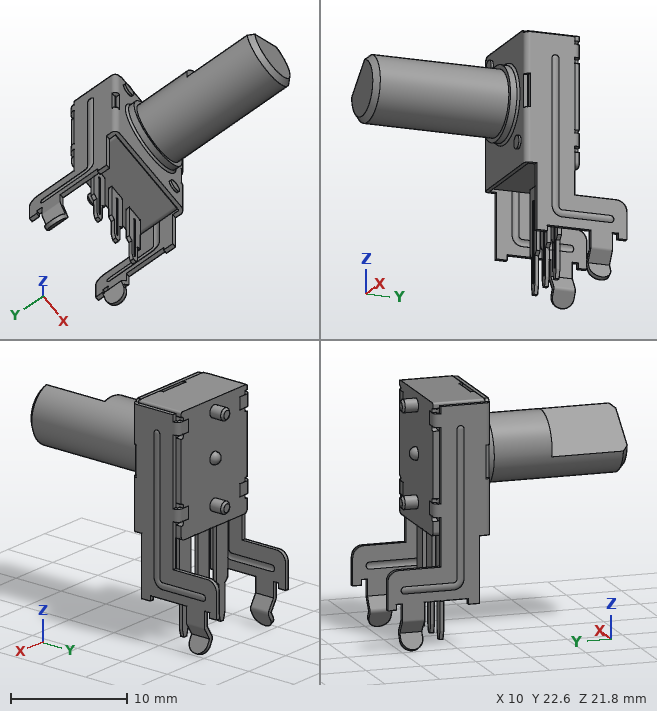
import cadquery as cq
import math


SHEET = 0.4
BRACKET_HALF_WIDTH = 4.9
BRACKET_INNER_HALF_WIDTH = BRACKET_HALF_WIDTH - SHEET
BEND_RADIUS = 0.5
FRONT_TOP_Z = 5.5
FRONT_BOTTOM_Z = -6.5
SIDE_TOP_Z = 5.25
SIDE_BACK_Y = 4.57
SHOULDER_HALF_WIDTH = BRACKET_HALF_WIDTH - BEND_RADIUS
WINDOW_LENGTH = 3.0
WINDOW_DEPTH = 0.45

BUSHING_DIAMETER = 6.8
BUSHING_LENGTH = 0.8
BUSHING_FLARE = 0.2

LEG_FRONT_Y = 1.04
FOOT_BACK_Y = 9.4
FOOT_TOP_Z = -9.0
FOOT_EDGE_Z = -12.0
FOOT_PAD_Z = -12.5
FRONT_PAD_WIDTH = 1.0
BACK_PAD_WIDTH = 0.8
FOOT_CORNER_RADIUS = 1.0

SNAP_Y = 7.06
SNAP_WIDTH = 2.0
SNAP_BEND_Z = -13.5
SNAP_ELBOW_X = 4.2
SNAP_ELBOW_Z = -14.75
SNAP_FLARE_ANGLE = 28.0
SNAP_BOTTOM_Z = -16.3

BEAD_WIDTH = 0.64
BEAD_HEIGHT = 0.1
BEAD_Y = 2.78
BEAD_TOP_Z = 3.1
BEAD_Z = -10.8
BEAD_BACK_Y = 7.86
BEAD_CORNER_RADIUS = 0.64

TAB_Z = 4.0
TAB_WIDTH = 1.2
TAB_RELIEF = 0.4
TAB_END_X = 3.5

HOUSING_BACK_Y = 5.15
HOUSING_BOTTOM_Z = -6.35
HOUSING_TOP_RADIUS = 0.2
HOUSING_BOTTOM_RADIUS = 0.4
TOP_NOTCH_LENGTH = 3.1
TOP_NOTCH_WIDTH = 0.35
TOP_NOTCH_DEPTH = 0.5
POCKET_DEPTH = 0.3
POCKET_COVE_RADIUS = 0.2
POST_DIAMETER = 1.2
POST_Z = 4.3
FRONT_POST_X = 3.25
FRONT_POSTS = ((-FRONT_POST_X, POST_Z), (FRONT_POST_X, -POST_Z))
FRONT_POST_HEIGHT = 0.2
BACK_POST_LENGTH = 1.4
BACK_POST_CHAMFER = 0.2
DOME_RADIUS = 0.6

SHAFT_DIAMETER = 6.0
SHAFT_TIP_Y = -13.2
SHAFT_SEAT_Y = 2.4
SHAFT_CHAMFER = 0.5
FLAT_LENGTH = 7.0
FLAT_OFFSET = 1.5
FLAT_ANGLE = 40.0

TERMINAL_PITCH = 2.5
TERMINAL_XS = (-TERMINAL_PITCH, 0, TERMINAL_PITCH)
TERMINAL_THICKNESS = 0.35
TERMINAL_MID_Y = 3.8
TERMINAL_INSERTION = 1.0
TERMINAL_TOP_Z = HOUSING_BOTTOM_Z + TERMINAL_INSERTION
TERMINAL_WIDTH = 1.55
TERMINAL_NARROW_WIDTH = 0.8
TERMINAL_TIP_WIDTH = 0.4
TERMINAL_SHOULDER_Z = -12.2
TERMINAL_TAPER_Z = -15.2
TERMINAL_BOTTOM_Z = -16.0
GROOVE_WIDTH = 0.2
GROOVE_DEPTH = 0.1
GROOVE_TOP_Z = -7.5
GROOVE_BOTTOM_Z = -15.0


def block(x0, x1, y0, y1, z0, z1):
    """Box between two opposite corners."""
    return cq.Workplane("XY").box(x1 - x0, y1 - y0, z1 - z0, centered=False).translate((x0, y0, z0))


def rod(diameter, x, z, y0, y1):
    """Round bar along Y from y0 to y1."""
    plane = cq.Plane(origin=(x, y0, z), xDir=(1, 0, 0), normal=(0, 1, 0))
    return cq.Workplane(plane).circle(diameter / 2).extrude(y1 - y0)


def both_sides(body):
    """The body together with its mirror image across X = 0."""
    return body.union(body.mirror("YZ"))




def front_channel():
    """Front plate and side walls around the housing, with rounded front bends."""
    channel = block(
        -BRACKET_HALF_WIDTH, BRACKET_HALF_WIDTH, 0, SIDE_BACK_Y, FRONT_BOTTOM_Z, SIDE_TOP_Z
    )
    channel = channel.edges("|Z and <Y").fillet(BEND_RADIUS)
    inside = block(
        -BRACKET_INNER_HALF_WIDTH, BRACKET_INNER_HALF_WIDTH, SHEET, SIDE_BACK_Y, FRONT_BOTTOM_Z, SIDE_TOP_Z
    )
    top_rise = FRONT_TOP_Z - SIDE_TOP_Z
    top_strip = block(
        -SHOULDER_HALF_WIDTH, SHOULDER_HALF_WIDTH, 0, SHEET, FRONT_BOTTOM_Z, FRONT_TOP_Z
    )
    top_strip = top_strip.edges("|Y and >Z").chamfer(top_rise)
    window = block(
        SHOULDER_HALF_WIDTH, BRACKET_HALF_WIDTH, 0, WINDOW_DEPTH, -WINDOW_LENGTH / 2, WINDOW_LENGTH / 2
    )
    return channel.cut(inside).union(top_strip).cut(both_sides(window))


def foot():
    """Flat lower part of the +X side, with its pads and the straight start of the snap leg."""
    snap_front = SNAP_Y - SNAP_WIDTH / 2
    snap_back = SNAP_Y + SNAP_WIDTH / 2
    front_pad_back = LEG_FRONT_Y + FRONT_PAD_WIDTH
    back_pad_front = FOOT_BACK_Y - BACK_PAD_WIDTH
    outline = [
        (LEG_FRONT_Y, FRONT_BOTTOM_Z),
        (LEG_FRONT_Y, FOOT_PAD_Z),
        (front_pad_back, FOOT_PAD_Z),
        (front_pad_back, FOOT_EDGE_Z),
        (snap_front, FOOT_EDGE_Z),
        (snap_front, SNAP_BEND_Z),
        (snap_back, SNAP_BEND_Z),
        (snap_back, FOOT_EDGE_Z),
        (back_pad_front, FOOT_EDGE_Z),
        (back_pad_front, FOOT_PAD_Z),
        (FOOT_BACK_Y, FOOT_PAD_Z),
        (FOOT_BACK_Y, FOOT_TOP_Z),
        (SIDE_BACK_Y, FOOT_TOP_Z),
        (SIDE_BACK_Y, FRONT_BOTTOM_Z),
    ]
    plate = cq.Workplane("YZ").workplane(offset=BRACKET_INNER_HALF_WIDTH).polyline(outline).close()
    plate = plate.extrude(SHEET)
    corner = cq.selectors.NearestToPointSelector((BRACKET_HALF_WIDTH, FOOT_BACK_Y, FOOT_TOP_Z))
    return plate.edges("|X").edges(corner).fillet(FOOT_CORNER_RADIUS)


def along(point, distance, direction):
    """The (x, z) point at a distance from another one along a unit direction."""
    return (point[0] + distance * direction[0], point[1] + distance * direction[1])


def unit(angle):
    """Unit (x, z) direction at an angle in degrees from the X axis towards Z."""
    return (math.cos(math.radians(angle)), math.sin(math.radians(angle)))


def snap_leg():
    """Sheet leg that bends inwards to an elbow and flares out again to a half-round end."""
    bend = (BRACKET_INNER_HALF_WIDTH, SNAP_BEND_Z)
    elbow = (SNAP_ELBOW_X, SNAP_ELBOW_Z)
    run_x = bend[0] - elbow[0]
    run_z = bend[1] - elbow[1]
    inward_angle = math.degrees(math.atan2(run_x, run_z) + math.asin(SHEET / math.hypot(run_x, run_z)))

    upper_normal = unit(-inward_angle)
    upper_bisector = unit(-inward_angle / 2)
    lower_normal = unit(180 + SNAP_FLARE_ANGLE)
    elbow_start_normal = unit(180 - inward_angle)
    elbow_bisector = unit(180 + (SNAP_FLARE_ANGLE - inward_angle) / 2)
    lower_direction = unit(SNAP_FLARE_ANGLE - 90)

    tip_drop = SNAP_ELBOW_Z - SNAP_BOTTOM_Z + SHEET * lower_normal[1]
    flare_length = tip_drop / -lower_direction[1]
    end_radius = SNAP_WIDTH / 2
    end_centre = along(elbow, flare_length - end_radius, lower_direction)

    section = (
        cq.Workplane("XZ", origin=(0, SNAP_Y, 0))
        .moveTo(*bend)
        .lineTo(BRACKET_HALF_WIDTH, SNAP_BEND_Z)
        .threePointArc(along(bend, SHEET, upper_bisector), along(bend, SHEET, upper_normal))
        .lineTo(*elbow)
        .lineTo(*end_centre)
        .lineTo(*along(end_centre, SHEET, lower_normal))
        .lineTo(*along(elbow, SHEET, lower_normal))
        .threePointArc(along(elbow, SHEET, elbow_bisector), along(elbow, SHEET, elbow_start_normal))
        .close()
    )
    leg = section.extrude(end_radius, both=True)

    end_plane = cq.Plane(
        origin=(end_centre[0], SNAP_Y, end_centre[1]),
        xDir=(lower_direction[0], 0, lower_direction[1]),
        normal=(lower_normal[0], 0, lower_normal[1]),
    )
    round_end = (
        cq.Workplane(end_plane)
        .moveTo(0, -end_radius)
        .threePointArc((end_radius, 0), (0, end_radius))
        .close()
        .extrude(SHEET)
    )
    return leg.union(round_end)


def bead_profile(plane):
    """Flat-based arc section of the bead; the local y of the plane points out of the side."""
    half = BEAD_WIDTH / 2
    return cq.Workplane(plane).moveTo(-half, 0).threePointArc((0, BEAD_HEIGHT), (half, 0)).close()


def bead_end(y, z):
    """Shallow round cap that closes the bead at one end."""
    plane = cq.Plane(origin=(BRACKET_HALF_WIDTH, y, z), xDir=(0, 0, 1), normal=(0, 1, 0))
    half = BEAD_WIDTH / 2
    crown_radius = (half**2 + BEAD_HEIGHT**2) / (2 * BEAD_HEIGHT)
    mid_angle = math.asin(half / crown_radius) / 2
    mid_point = (
        crown_radius * math.sin(mid_angle),
        BEAD_HEIGHT - crown_radius * (1 - math.cos(mid_angle)),
    )
    half_profile = (
        cq.Workplane(plane).lineTo(0, BEAD_HEIGHT).threePointArc(mid_point, (half, 0)).close()
    )
    return half_profile.revolve(360, (0, 0, 0), (0, 1, 0))


def bead():
    """L-shaped bead on the +X side: upright, quarter-turn and arm with round ends."""
    corner_y = BEAD_Y + BEAD_CORNER_RADIUS
    corner_z = BEAD_Z + BEAD_CORNER_RADIUS
    upright_plane = cq.Plane(
        origin=(BRACKET_HALF_WIDTH, BEAD_Y, corner_z), xDir=(0, -1, 0), normal=(0, 0, 1)
    )
    arm_plane = cq.Plane(
        origin=(BRACKET_HALF_WIDTH, corner_y, BEAD_Z), xDir=(0, 0, 1), normal=(0, 1, 0)
    )
    upright = bead_profile(upright_plane).extrude(BEAD_TOP_Z - corner_z)
    arm = bead_profile(arm_plane).extrude(BEAD_BACK_Y - corner_y)
    turn = bead_profile(upright_plane).revolve(
        90, (-BEAD_CORNER_RADIUS, 0, 0), (-BEAD_CORNER_RADIUS, 1, 0)
    )
    body = upright.union(turn).union(arm)
    return body.union(bead_end(BEAD_Y, BEAD_TOP_Z)).union(bead_end(BEAD_BACK_Y, BEAD_Z))


def tab(z):
    """Tab at height z that continues the +X side and folds in behind the housing."""
    low = z - TAB_WIDTH / 2
    high = z + TAB_WIDTH / 2
    bent = block(TAB_END_X, BRACKET_HALF_WIDTH, SIDE_BACK_Y - TAB_RELIEF, HOUSING_BACK_Y, low, high)
    bent = bent.edges("|Z and >X and >Y").fillet(BEND_RADIUS)
    inside = block(
        TAB_END_X, BRACKET_INNER_HALF_WIDTH, SIDE_BACK_Y - TAB_RELIEF, HOUSING_BACK_Y - SHEET, low, high
    )
    return bent.cut(inside)


def bushing():
    """Collar around the shaft with a flared root on the front plate."""
    radius = BUSHING_DIAMETER / 2
    profile = (
        cq.Workplane("XY")
        .moveTo(0, SHEET)
        .lineTo(radius + BUSHING_FLARE, SHEET)
        .lineTo(radius + BUSHING_FLARE, 0)
        .lineTo(radius, -BUSHING_FLARE)
        .lineTo(radius, -BUSHING_LENGTH)
        .lineTo(0, -BUSHING_LENGTH)
        .close()
    )
    return profile.revolve(360, (0, 0, 0), (0, 1, 0))


def make_bracket():
    """Bent sheet bracket with feet, snap legs, tabs, bushing and openings for shaft and posts."""
    side = foot().union(snap_leg())
    for z in (TAB_Z, -TAB_Z):
        side = side.union(tab(z))
    body = front_channel().union(both_sides(side)).union(bushing())
    raised = bead()
    body = body.union(both_sides(raised)).cut(both_sides(raised.translate((-SHEET, 0, 0))))
    body = body.cut(rod(SHAFT_DIAMETER, 0, 0, -BUSHING_LENGTH, SHEET))
    for x, z in FRONT_POSTS:
        body = body.cut(rod(POST_DIAMETER, x, z, 0, SHEET))
    return body



def tab_recess(z):
    """Space for one folded tab, with a coved pocket around it in the side of the housing."""
    half_width = BRACKET_INNER_HALF_WIDTH
    low = z - TAB_WIDTH / 2
    high = z + TAB_WIDTH / 2
    pocket = block(
        half_width - POCKET_DEPTH,
        half_width,
        SIDE_BACK_Y,
        HOUSING_BACK_Y,
        low - TAB_RELIEF,
        high + TAB_RELIEF,
    )
    pocket = pocket.faces("<X").edges("not >Y").fillet(POCKET_COVE_RADIUS)
    tab_space = block(TAB_END_X, half_width, HOUSING_BACK_Y - SHEET, HOUSING_BACK_Y, low, high)
    return pocket.union(tab_space)


def make_housing():
    """Moulded block with posts, tab recesses, shaft seat and terminal slots."""
    half_width = BRACKET_INNER_HALF_WIDTH
    body = block(-half_width, half_width, SHEET, HOUSING_BACK_Y, HOUSING_BOTTOM_Z, FRONT_TOP_Z)
    body = body.edges("|Y and >Z").fillet(HOUSING_TOP_RADIUS)
    body = body.edges("|Y and <Z").fillet(HOUSING_BOTTOM_RADIUS)
    body = body.cut(
        block(
            -TOP_NOTCH_LENGTH / 2,
            TOP_NOTCH_LENGTH / 2,
            SHEET,
            SHEET + TOP_NOTCH_WIDTH,
            FRONT_TOP_Z - TOP_NOTCH_DEPTH,
            FRONT_TOP_Z,
        )
    )
    for z in (TAB_Z, -TAB_Z):
        body = body.cut(both_sides(tab_recess(z)))
    for x, z in FRONT_POSTS:
        body = body.union(rod(POST_DIAMETER, x, z, -FRONT_POST_HEIGHT, SHEET))
    for z in (POST_Z, -POST_Z):
        post = rod(POST_DIAMETER, 0, z, HOUSING_BACK_Y, HOUSING_BACK_Y + BACK_POST_LENGTH)
        body = body.union(post.faces(">Y").chamfer(BACK_POST_CHAMFER))
    body = body.union(cq.Workplane("XY").sphere(DOME_RADIUS).translate((0, HOUSING_BACK_Y, 0)))
    body = body.cut(rod(SHAFT_DIAMETER, 0, 0, SHEET, SHAFT_SEAT_Y))
    for x in TERMINAL_XS:
        body = body.cut(terminal_blank(x))
    return body




def make_shaft():
    """Round shaft with a chamfered tip and one slanted flat."""
    body = rod(SHAFT_DIAMETER, 0, 0, SHAFT_TIP_Y, SHAFT_SEAT_Y)
    body = body.faces("<Y").chamfer(SHAFT_CHAMFER)
    radius = SHAFT_DIAMETER / 2
    flat = block(-radius, radius, SHAFT_TIP_Y, SHAFT_TIP_Y + FLAT_LENGTH, FLAT_OFFSET, radius)
    return body.cut(flat.rotate((0, 0, 0), (0, 1, 0), -FLAT_ANGLE))



def terminal_blank(x):
    """Flat blade centred on x, stepped to a narrow tail with a tapered tip."""
    wide = TERMINAL_WIDTH / 2
    narrow = TERMINAL_NARROW_WIDTH / 2
    tip = TERMINAL_TIP_WIDTH / 2
    tail_z = TERMINAL_SHOULDER_Z - (wide - narrow)
    right_side = [
        (wide, TERMINAL_TOP_Z),
        (wide, TERMINAL_SHOULDER_Z),
        (narrow, tail_z),
        (narrow, TERMINAL_TAPER_Z),
        (tip, TERMINAL_BOTTOM_Z),
    ]
    left_side = [(-half, z) for half, z in reversed(right_side)]
    blade = cq.Workplane("XZ").polyline(right_side + left_side).close()
    return blade.extrude(TERMINAL_THICKNESS / 2, both=True).translate((x, TERMINAL_MID_Y, 0))


def make_terminal(x):
    """Terminal blade with a round-ended groove along its front face."""
    front_y = TERMINAL_MID_Y - TERMINAL_THICKNESS / 2
    groove_mid_z = (GROOVE_TOP_Z + GROOVE_BOTTOM_Z) / 2
    groove_plane = cq.Plane(origin=(x, front_y, groove_mid_z), xDir=(0, 0, 1), normal=(0, 1, 0))
    groove = cq.Workplane(groove_plane).slot2D(GROOVE_TOP_Z - GROOVE_BOTTOM_Z, GROOVE_WIDTH)
    return terminal_blank(x).cut(groove.extrude(GROOVE_DEPTH))


bracket = make_bracket()
housing = make_housing()
shaft = make_shaft()
terminals = [make_terminal(x) for x in TERMINAL_XS]

result = cq.Compound.makeCompound(
    [bracket.val(), housing.val(), shaft.val(), *[terminal.val() for terminal in terminals]]
)